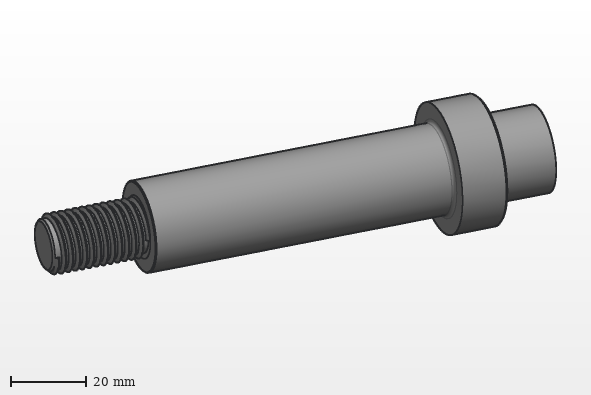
import cadquery as cq
import math


total_length = 141.0
head_length = 16.0
flange_length = 13.0
barrel_length = 85.0
sleeve_length = flange_length + barrel_length
thread_end_length = total_length - head_length - sleeve_length

flange_diameter = 36.0
barrel_diameter = 25.0
head_diameter = 24.0
bore_diameter = 17.2

flange_chamfer = 0.5
barrel_chamfer = 0.3
root_fillet = 1.0
tip_chamfer = 0.5

crest_diameter = 16.5
core_diameter = 14.2
thread_turns = 13
thread_reach = 26.0
ridge_base_width = 1.4
ridge_sink = 0.1

core_radius = core_diameter / 2
thread_pitch = thread_reach / thread_turns


def make_sleeve():
    """Flange and barrel with a through bore, a filleted inner corner and two chamfered outer edges."""
    flange_radius = flange_diameter / 2
    barrel_radius = barrel_diameter / 2
    fillet_turn = (1 - math.sqrt(0.5)) * root_fillet
    profile = (
        cq.Workplane("XZ")
        .moveTo(bore_diameter / 2, 0)
        .lineTo(flange_radius - flange_chamfer, 0)
        .lineTo(flange_radius, flange_chamfer)
        .lineTo(flange_radius, flange_length)
        .lineTo(barrel_radius + root_fillet, flange_length)
        .threePointArc(
            (barrel_radius + fillet_turn, flange_length + fillet_turn),
            (barrel_radius, flange_length + root_fillet),
        )
        .lineTo(barrel_radius, sleeve_length - barrel_chamfer)
        .lineTo(barrel_radius - barrel_chamfer, sleeve_length)
        .lineTo(bore_diameter / 2, sleeve_length)
        .close()
    )
    return profile.revolve(360, (0, 0, 0), (0, 1, 0))


def make_thread_ridge():
    """Right-handed helical ridge that starts at the sleeve's end, with its flanks run on into the core."""
    foot_radius = core_radius - ridge_sink
    ridge_height = (crest_diameter - core_diameter) / 2
    half_foot_width = ridge_base_width / 2 * (ridge_height + ridge_sink) / ridge_height
    path = cq.Wire.makeHelix(thread_pitch, thread_reach, foot_radius)
    ridge = (
        cq.Workplane("XZ")
        .moveTo(foot_radius, -half_foot_width)
        .lineTo(crest_diameter / 2, 0)
        .lineTo(foot_radius, half_foot_width)
        .close()
        .sweep(cq.Workplane(path), isFrenet=True)
    )
    return ridge.translate((0, 0, sleeve_length))


def make_tip_bevel():
    """Ring to cut away so that one 45 degree cone bevels both the core and the thread at the tip."""
    tip_height = sleeve_length + thread_end_length
    tip_radius = core_radius - tip_chamfer
    outer_radius = bore_diameter / 2
    return (
        cq.Workplane("XZ")
        .moveTo(tip_radius, tip_height)
        .lineTo(outer_radius, tip_height)
        .lineTo(outer_radius, tip_height - (outer_radius - tip_radius))
        .close()
        .revolve(360, (0, 0, 0), (0, 1, 0))
    )


def make_screw():
    """Plain round head behind the flange, a shank that fills the bore and a threaded end."""
    head = cq.Workplane("XY").circle(head_diameter / 2).extrude(-head_length)
    shank = cq.Workplane("XY").circle(bore_diameter / 2).extrude(sleeve_length)
    core = cq.Workplane("XY", origin=(0, 0, sleeve_length)).circle(core_radius).extrude(thread_end_length)
    screw = head.union(shank).union(core).union(make_thread_ridge())
    return screw.cut(make_tip_bevel())


def point_along_minus_y(body):
    """Turn a body modelled along +Z so that it points along -Y."""
    return body.rotate((0, 0, 0), (1, 0, 0), 90)


sleeve = point_along_minus_y(make_sleeve())
screw = point_along_minus_y(make_screw())
result = cq.Compound.makeCompound([sleeve.val(), screw.val()])